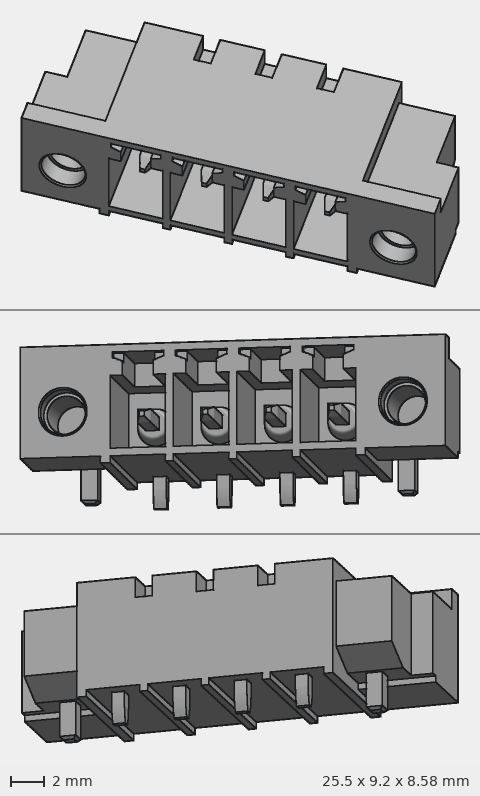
import cadquery as cq


LENGTH = 25.53
DEPTH = 9.2
HOUSING_HEIGHT = 7.1
TAIL_REACH = 1.48

CONTACT_COUNT = 4
PITCH = 3.8
AXIS_Z = 3.15
CONTACT_X = [(i - (CONTACT_COUNT - 1) / 2) * PITCH for i in range(CONTACT_COUNT)]
ROW_SPAN = CONTACT_X[-1] - CONTACT_X[0]

BODY_WIDTH = 15.9
BASE_Z = 0.4
FLANGE_THICKNESS = 1.23

WING_TOP_Z = HOUSING_HEIGHT - 1.25
WING_UNDERSIDE_Z = 0.8
WING_UNDERSIDE_START_Y = 4.31
WING_WIDE_DEPTH = 4.85
WING_DEPTH = 8.6
WING_NARROW_SPAN = 22.82
WING_SLOPE_START_Y = 6.4
WING_SLOPE_TOP_Z = 1.8

CAVITY_WIDTH = 3.32
CAVITY_BOTTOM_Z = 0.87
CAVITY_TOP_Z = 5.23
CAVITY_DEPTH = 6.25
KEYWAY_WIDTH = 1.85
KEYWAY_TOP_Z = 6.65
KEYWAY_DEPTH = 4.08
KEYWAY_HEAD_WIDTH = 3.1
KEYWAY_HEAD_SIDE = 0.3
KEYWAY_HEAD_HEIGHT = 0.55
KEYWAY_HEAD_DEPTH = 0.5

WALL_THICKNESS = PITCH - CAVITY_WIDTH
END_RIB_WIDTH = (BODY_WIDTH - ROW_SPAN - CAVITY_WIDTH) / 2

NOTCH_WIDTH = 1.05
NOTCH_DEPTH = 1.91

COLLAR_BASE_DIAMETER = 2.22
COLLAR_TOP_DIAMETER = 1.79
COLLAR_HEIGHT = 1.28
COLLAR_ROUNDING = 0.18

SCREW_SPACING = 20.42
SCREW_MOUTH_DIAMETER = 2.7
SCREW_MOUTH_DEPTH = FLANGE_THICKNESS
SCREW_MOUTH_CHAMFER = 0.1
SCREW_BORE_DIAMETER = 2.3
SCREW_HOLE_DEPTH = WING_WIDE_DEPTH

PIN_SIZE = 0.8
PIN_FRONT_Y = 1.38
PIN_POINT_SIZE = 0.3
PIN_POINT_LENGTH = 0.77
PIN_REAR_Y = 8.22
PIN_TAIL_CURVE_Z = -0.35
PIN_TAIL_END_WIDTH = 0.38

PEG_SPACING = 19.05
PEG_SIZE = 1.0
PEG_Y = 5.6
PEG_CHAMFER = 0.18


def box(width, y_front, y_rear, z_bottom, z_top, x_center=0.0):
    """Block centred on x_center and spanning the given Y and Z ranges."""
    block = cq.Workplane("XY").box(width, y_rear - y_front, z_top - z_bottom, centered=(True, False, False))
    return block.translate((x_center, y_front, z_bottom))


def cylinder(x, diameter, length):
    """Round bar running back from the mating face at the height of the contact axis."""
    return (
        cq.Workplane("XZ", origin=(x, 0, AXIS_Z))
        .circle(diameter / 2)
        .extrude(-length)
    )


def make_wings():
    """Both end wings as one bar through the body, narrower behind the step."""
    profile = [
        (0, BASE_Z),
        (WING_UNDERSIDE_START_Y, BASE_Z),
        (WING_UNDERSIDE_START_Y, WING_UNDERSIDE_Z),
        (WING_SLOPE_START_Y, WING_UNDERSIDE_Z),
        (WING_DEPTH, WING_SLOPE_TOP_Z),
        (WING_DEPTH, WING_TOP_Z),
        (0, WING_TOP_Z),
    ]
    bar = cq.Workplane("YZ").polyline(profile).close().extrude(LENGTH / 2, both=True)
    plan_wide = box(LENGTH, 0, WING_WIDE_DEPTH, 0, HOUSING_HEIGHT)
    plan_narrow = box(WING_NARROW_SPAN, 0, DEPTH, 0, HOUSING_HEIGHT)
    return bar.intersect(plan_wide.union(plan_narrow))


def make_ribs():
    """Ribs under every cavity wall, running from front to rear."""
    end_x = (BODY_WIDTH - END_RIB_WIDTH) / 2
    ribs = box(END_RIB_WIDTH, 0, DEPTH, 0, BASE_Z, -end_x)
    ribs = ribs.union(box(END_RIB_WIDTH, 0, DEPTH, 0, BASE_Z, end_x))
    for x in CONTACT_X[:-1]:
        ribs = ribs.union(box(WALL_THICKNESS, 0, DEPTH, 0, BASE_Z, x + PITCH / 2))
    return ribs


def make_cavity(x):
    """Space taken out for one plug contact: chamber, keyway and keyway head."""
    chamber = box(CAVITY_WIDTH, 0, CAVITY_DEPTH, CAVITY_BOTTOM_Z, CAVITY_TOP_Z, x)
    keyway = box(KEYWAY_WIDTH, 0, KEYWAY_DEPTH, CAVITY_TOP_Z, KEYWAY_TOP_Z, x)
    head_half = KEYWAY_HEAD_WIDTH / 2
    slot_half = KEYWAY_WIDTH / 2
    head_profile = [
        (x - head_half, KEYWAY_TOP_Z),
        (x + head_half, KEYWAY_TOP_Z),
        (x + head_half, KEYWAY_TOP_Z - KEYWAY_HEAD_SIDE),
        (x + slot_half, KEYWAY_TOP_Z - KEYWAY_HEAD_HEIGHT),
        (x - slot_half, KEYWAY_TOP_Z - KEYWAY_HEAD_HEIGHT),
        (x - head_half, KEYWAY_TOP_Z - KEYWAY_HEAD_SIDE),
    ]
    head = cq.Workplane("XZ").polyline(head_profile).close().extrude(-KEYWAY_HEAD_DEPTH)
    return chamber.union(keyway).union(head)


def make_collar(x):
    """Tapered round collar with a rounded front rim, standing on the cavity rear wall."""
    collar = (
        cq.Workplane("XZ", origin=(x, CAVITY_DEPTH, AXIS_Z))
        .circle(COLLAR_BASE_DIAMETER / 2)
        .workplane(offset=COLLAR_HEIGHT)
        .circle(COLLAR_TOP_DIAMETER / 2)
        .loft(ruled=True)
    )
    return collar.faces("<Y").edges().fillet(COLLAR_ROUNDING)


def make_screw_hole(x):
    """Space taken out for one blind screw hole with a wider, chamfered mouth."""
    mouth = cylinder(x, SCREW_MOUTH_DIAMETER, SCREW_MOUTH_DEPTH)
    bore = cylinder(x, SCREW_BORE_DIAMETER, SCREW_HOLE_DEPTH)
    mouth_radius = SCREW_MOUTH_DIAMETER / 2
    chamfer = (
        cq.Workplane("XZ", origin=(x, 0, AXIS_Z))
        .circle(mouth_radius + SCREW_MOUTH_CHAMFER)
        .workplane(offset=-SCREW_MOUTH_CHAMFER)
        .circle(mouth_radius)
        .loft(ruled=True)
    )
    return mouth.union(bore).union(chamfer)


def make_pin(x):
    """Square angled pin: pointed at the front, bent down to a curved tail at the rear."""
    half = PIN_SIZE / 2
    shank_front_y = PIN_FRONT_Y + PIN_POINT_LENGTH
    shank = box(PIN_SIZE, shank_front_y, PIN_REAR_Y, AXIS_Z - half, AXIS_Z + half, x)
    point = (
        cq.Workplane("XZ", origin=(x, shank_front_y, AXIS_Z))
        .rect(PIN_SIZE, PIN_SIZE)
        .workplane(offset=PIN_POINT_LENGTH)
        .rect(PIN_POINT_SIZE, PIN_POINT_SIZE)
        .loft(ruled=True)
    )
    tail_y = PIN_REAR_Y - half
    tail_half = (
        cq.Workplane("YZ", origin=(x - half, tail_y, 0))
        .moveTo(0, AXIS_Z)
        .lineTo(half, AXIS_Z)
        .lineTo(half, PIN_TAIL_CURVE_Z)
        .tangentArcPoint((PIN_TAIL_END_WIDTH / 2, -TAIL_REACH), relative=False)
        .lineTo(0, -TAIL_REACH)
        .close()
        .extrude(PIN_SIZE)
    )
    tail = tail_half.union(tail_half.mirror("XZ", (0, tail_y, 0)))
    return shank.union(point).union(tail)


def make_peg(x):
    """Square peg set against the underside of a wing, chamfered at its free end."""
    peg = (
        cq.Workplane("XY", origin=(x, PEG_Y, -TAIL_REACH))
        .rect(PEG_SIZE, PEG_SIZE)
        .extrude(WING_UNDERSIDE_Z + TAIL_REACH)
    )
    return peg.faces("<Z").edges().chamfer(PEG_CHAMFER)


def make_housing(pins):
    """Housing with its cavities, notches and screw holes, and a matching channel for each pin."""
    body = box(BODY_WIDTH, 0, DEPTH, BASE_Z, HOUSING_HEIGHT)
    flange = box(LENGTH, 0, FLANGE_THICKNESS, BASE_Z, HOUSING_HEIGHT)
    housing = body.union(flange).union(make_wings()).union(make_ribs())
    for x in CONTACT_X:
        housing = housing.cut(make_cavity(x)).union(make_collar(x))
    for x in CONTACT_X[:-1]:
        notch = box(NOTCH_WIDTH, DEPTH - NOTCH_DEPTH, DEPTH, WING_TOP_Z, HOUSING_HEIGHT, x + PITCH / 2)
        housing = housing.cut(notch)
    for side in (-1, 1):
        housing = housing.cut(make_screw_hole(side * SCREW_SPACING / 2))
    for pin in pins:
        housing = housing.cut(pin)
    return housing


pins = [make_pin(x) for x in CONTACT_X]
pegs = [make_peg(side * PEG_SPACING / 2) for side in (-1, 1)]
housing = make_housing(pins)

result = cq.Compound.makeCompound(
    [housing.val(), *[pin.val() for pin in pins], *[peg.val() for peg in pegs]]
)